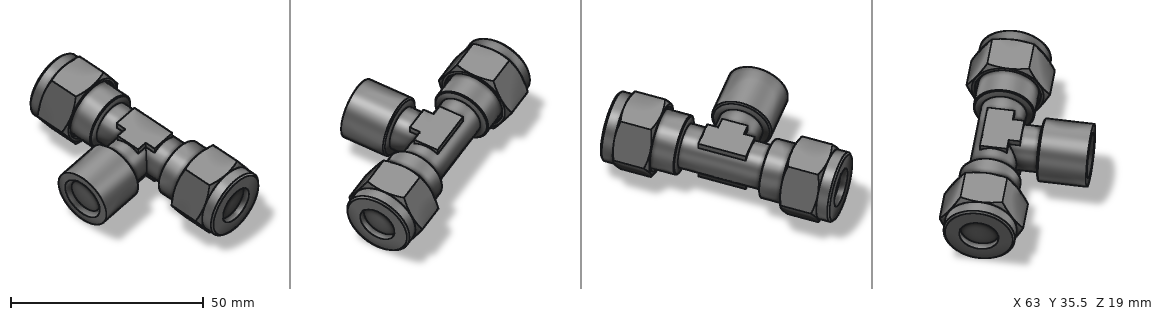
import cadquery as cq
import math

run_length = 63.0
pipe_radius = 6.0
ring_radius = 9.4
ring_chamfer = 0.5
nut_flats = 19.0
nut_rim_radius = 9.45
nut_cone_angle = 30
clearance_radius = 8.7
clearance_depth = 1.25
nut_outer_inset = 3.45
nut_inner_inset = 13.55
collar_radius = 8.0
collar_inset = 20.2
tube_diameter = 10.3
tube_depth = 1.9
socket_floor_rise = 0.25

branch_radius = 8.25
branch_end = 24.5
branch_start = 11.2
mouth_radius = 5.9
mouth_floor_radius = 4.8
mouth_depth = 1.25

collar_lip = 0.3
branch_lip = 0.5
lip_angle = 34
slope_angle = 12

pad_half_height = 6.55
pad_half_length = 6.55
pad_half_width = 3.5

half_run = run_length / 2
tube_radius = tube_diameter / 2
nut_length = nut_inner_inset - nut_outer_inset


def turned(profile):
    """Revolve an (axial, radial) outline about the X axis."""
    return cq.Workplane("XY").polyline(profile).close().revolve(360, (0, 0, 0), (1, 0, 0))


def rise(length, angle):
    """Axial distance taken by a radial length on a face tilted by angle from square."""
    return length * math.tan(math.radians(angle))


def shoulder(start, radius, lip):
    """Outline points from the pipe up to a larger radius, starting at an axial place."""
    lip_radius = radius - lip
    lip_start = start + rise(lip_radius - pipe_radius, slope_angle)
    return [
        (start, pipe_radius),
        (lip_start, lip_radius),
        (lip_start + rise(lip, lip_angle), radius),
    ]


def hex_nut():
    """Hexagon with corners up and down Y, its corners turned to a cone at both ends.

    A shallow counterbore in the inner end leaves a gap around the collar.
    """
    outer = half_run - nut_outer_inset
    inner = half_run - nut_inner_inset
    corner_radius = nut_flats / math.sqrt(3)
    corner_cut = rise(corner_radius - nut_rim_radius, nut_cone_angle)
    hexagon = (
        cq.Workplane("YZ", origin=(inner, 0, 0))
        .polygon(6, 2 * corner_radius)
        .extrude(nut_length)
    )
    envelope = turned([
        (inner, 0),
        (inner, nut_rim_radius),
        (inner + corner_cut, corner_radius),
        (outer - corner_cut, corner_radius),
        (outer, nut_rim_radius),
        (outer, 0),
    ])
    clearance = cq.Workplane("YZ", origin=(inner, 0, 0)).circle(clearance_radius).extrude(clearance_depth)
    return hexagon.intersect(envelope).cut(clearance)


def run_fitting():
    """Collar, nut, end ring and tube socket at the +X end of the run.

    The socket floor is a very flat cone that bulges towards the mouth.
    """
    collar_start = half_run - collar_inset
    core = turned([
        (0, 0),
        (0, pipe_radius),
        *shoulder(collar_start, collar_radius, collar_lip),
        (half_run - nut_outer_inset, collar_radius),
        (half_run - nut_outer_inset, ring_radius),
        (half_run - ring_chamfer, ring_radius),
        (half_run, ring_radius - ring_chamfer),
        (half_run, 0),
    ])
    socket = turned([
        (half_run, 0),
        (half_run, tube_radius),
        (half_run - tube_depth, tube_radius),
        (half_run - tube_depth + socket_floor_rise, 0),
    ])
    return core.union(hex_nut()).cut(socket)


def branch():
    """Stub pipe and larger end boss with a conical recess, pointing along -Y."""
    outline = [
        (0, 0),
        (0, pipe_radius),
        *shoulder(branch_start, branch_radius, branch_lip),
        (branch_end, branch_radius),
        (branch_end, mouth_radius),
        (branch_end - mouth_depth, mouth_floor_radius),
        (branch_end - mouth_depth, 0),
    ]
    return turned(outline).rotate((0, 0, 0), (0, 0, 1), -90)


def pads():
    """Tee-shaped block whose flat faces stand proud of the pipes above and below."""
    height = 2 * pad_half_height
    bar = cq.Workplane("XY").box(2 * pad_half_length, 2 * pad_half_width, height)
    stem = cq.Workplane("XY").box(2 * pad_half_width, pad_half_length, height)
    return bar.union(stem.translate((0, -pad_half_length / 2, 0)))


fitting = run_fitting()
result = fitting.union(fitting.mirror("YZ")).union(branch()).union(pads())